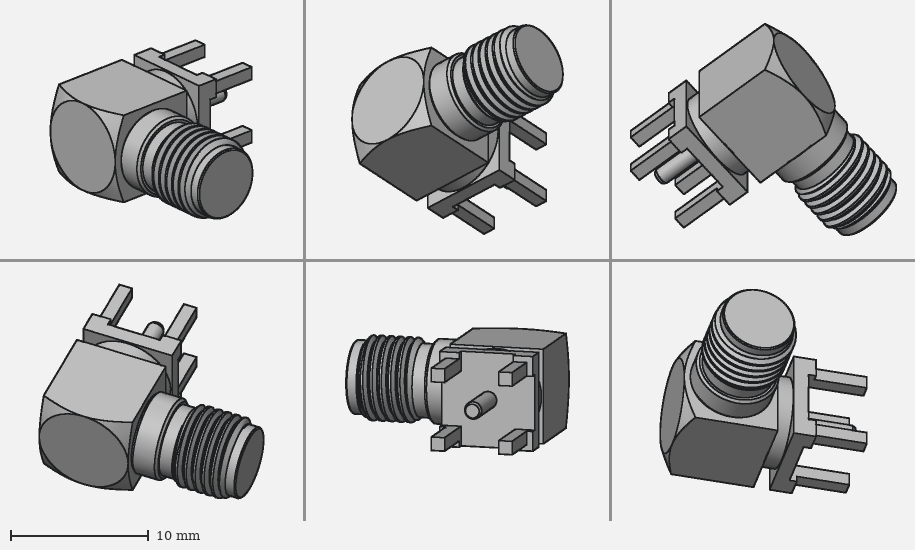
import cadquery as cq
import math


body_size = 7.0
half_body = body_size / 2
body_bevel_angle = 30.0
bevel_radial = half_body * (math.sqrt(2) - 1)
bevel_depth = bevel_radial * math.tan(math.radians(body_bevel_angle))

neck_diameter = 6.74
neck_length = 1.2

flange_thickness = 1.67
relief_depth = 0.55
leg_size = 1.0
leg_spacing = 5.08
leg_length = 3.93
relief_width = leg_spacing - leg_size

pin_diameter = 1.27
pin_setback = 0.18
pin_chamfer_length = 0.25
pin_chamfer_radial = 0.12

barrel_length = 8.1
core_diameter = 5.4
thread_diameter = 6.2
collar_length = 2.1
collar_chamfer = 0.2
barrel_tip_chamfer = 0.1

thread_pitch = 0.7
thread_start = 3.1
thread_turns = 6
thread_end = thread_start + thread_turns * thread_pitch
thread_flank_angle = 30.0
crest_width = thread_pitch / 4
crest_clearance = 0.1
root_overlap = 0.05

flange_front = half_body + neck_length
flange_back = flange_front + flange_thickness
relief_floor = flange_back - relief_depth
leg_tip = flange_back + leg_length


def box_along_y(size_x, size_z, y_start, y_end):
    """Box centred on the Y axis between two Y positions."""
    length = y_end - y_start
    return cq.Workplane("XY").box(size_x, length, size_z).translate((0, y_start + length / 2, 0))


def cylinder_along_y(diameter, y_start, y_end):
    """Cylinder on the Y axis between two Y positions."""
    base = cq.Workplane("XZ", origin=(0, y_start, 0))
    return base.circle(diameter / 2).extrude(y_start - y_end)


def cylinder_along_x(diameter, x_start, x_end):
    """Cylinder on the X axis, distances measured from the body side face."""
    base = cq.Workplane("YZ", origin=(half_body + x_start, 0, 0))
    return base.circle(diameter / 2).extrude(x_end - x_start)


def make_body():
    """Cube whose front corners are trimmed by a cone touching the front edges."""
    corner_diameter = body_size * math.sqrt(2)
    envelope = cylinder_along_y(corner_diameter, -half_body, half_body)
    envelope = envelope.faces("<Y").chamfer(bevel_depth, bevel_radial)
    return cq.Workplane("XY").box(body_size, body_size, body_size).intersect(envelope)


def make_flange():
    """Neck and flange, relieved by two crossing slots, with a leg on each corner pad."""
    flange = box_along_y(body_size, body_size, flange_front, flange_back)
    flange = flange.cut(box_along_y(relief_width, body_size, relief_floor, flange_back))
    flange = flange.cut(box_along_y(body_size, relief_width, relief_floor, flange_back))
    flange = flange.union(cylinder_along_y(neck_diameter, half_body, flange_front))
    leg = box_along_y(leg_size, leg_size, flange_back, leg_tip)
    for side_x in (-1, 1):
        for side_z in (-1, 1):
            offset = (side_x * leg_spacing / 2, 0, side_z * leg_spacing / 2)
            flange = flange.union(leg.translate(offset))
    return flange


def make_pin():
    """Center contact pin with a chamfered tip."""
    pin = cylinder_along_y(pin_diameter, relief_floor, leg_tip - pin_setback)
    return pin.faces(">Y").chamfer(pin_chamfer_length, pin_chamfer_radial)


def make_thread():
    """Right-handed ridge, swept past both ends and trimmed by a chamfered cylinder."""
    root_radius = core_diameter / 2 - root_overlap
    crest_radius = thread_diameter / 2
    half_crest = crest_width / 2
    half_root = half_crest + (crest_radius - root_radius) * math.tan(math.radians(thread_flank_angle))
    sweep_length = (thread_turns + 2) * thread_pitch
    helix = cq.Wire.makeHelix(thread_pitch, sweep_length, root_radius)
    ridge = (
        cq.Workplane("XZ")
        .moveTo(root_radius, -half_root)
        .lineTo(crest_radius, -half_crest)
        .lineTo(crest_radius, half_crest)
        .lineTo(root_radius, half_root)
        .close()
        .sweep(cq.Workplane(obj=helix), isFrenet=True)
    )
    ridge = ridge.rotate((0, 0, 0), (0, 1, 0), 90)
    ridge = ridge.translate((half_body + thread_start - thread_pitch, 0, 0))
    trim_diameter = thread_diameter + 2 * crest_clearance
    envelope = cylinder_along_x(trim_diameter, thread_start, thread_end)
    envelope = envelope.edges().chamfer((trim_diameter - core_diameter) / 2)
    return ridge.intersect(envelope)


def make_barrel():
    """Plain core with a chamfered collar next to the body and a threaded stretch."""
    core = cylinder_along_x(core_diameter, 0, barrel_length)
    core = core.faces(">X").chamfer(barrel_tip_chamfer)
    collar = cylinder_along_x(thread_diameter, 0, collar_length).edges().chamfer(collar_chamfer)
    return core.union(collar).union(make_thread())


result = make_body().union(make_flange()).union(make_pin()).union(make_barrel())